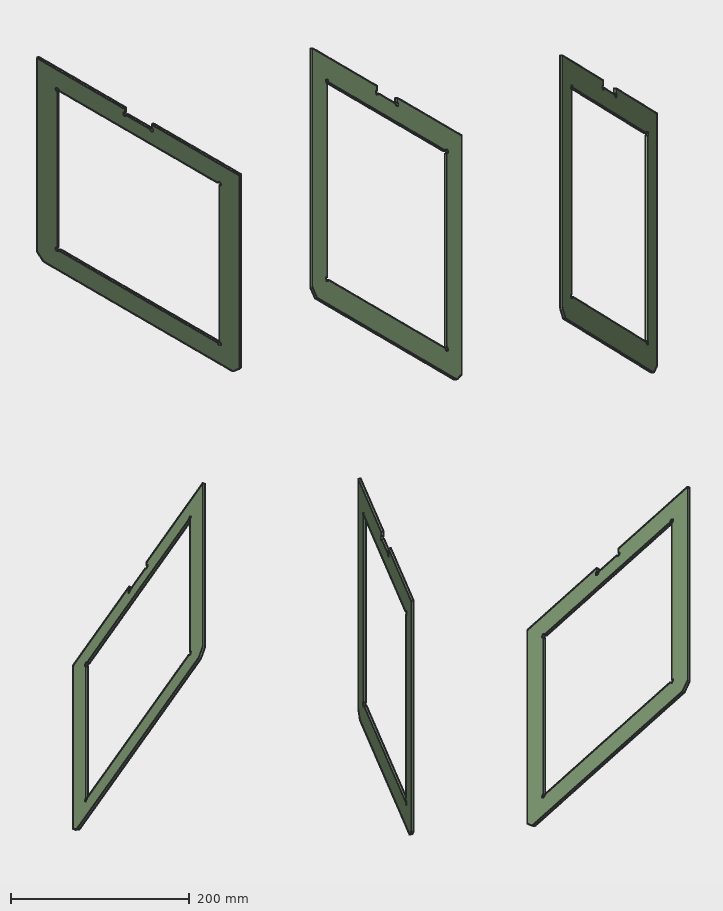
import cadquery as cq

side = 300.0
thickness = 3.0
border = 30.0
window = side - 2 * border

corner_cut = 9.5
corner_blend = 3.0
notch_width = 40.0
notch_depth = 8.0
relief_radius = 2.3


def standing_box(width, height):
    return cq.Workplane("XY").box(width, thickness, height)


def corner_reliefs(points):
    """Cylinders through the plate, centred on the given (x, z) corners."""
    return (
        cq.Workplane("XZ")
        .pushPoints(points)
        .circle(relief_radius)
        .extrude(thickness, both=True)
    )


half_side = side / 2
plate = standing_box(side, side)
plate = plate.faces("<Z").edges("|Y").chamfer(corner_cut)
below_middle = cq.selectors.BoxSelector((-side, -side, -side), (side, side, 0))
plate = plate.edges("|Y").edges(below_middle).fillet(corner_blend)

half_window = window / 2
window_corners = [(x, z) for x in (-half_window, half_window) for z in (-half_window, half_window)]
plate = plate.cut(standing_box(window, window))
plate = plate.cut(corner_reliefs(window_corners))

notch_floor = half_side - notch_depth
notch = standing_box(notch_width, 2 * notch_depth).translate((0, 0, half_side))
notch_corners = [(x, notch_floor) for x in (-notch_width / 2, notch_width / 2)]
plate = plate.cut(notch)
plate = plate.cut(corner_reliefs(notch_corners))

result = plate